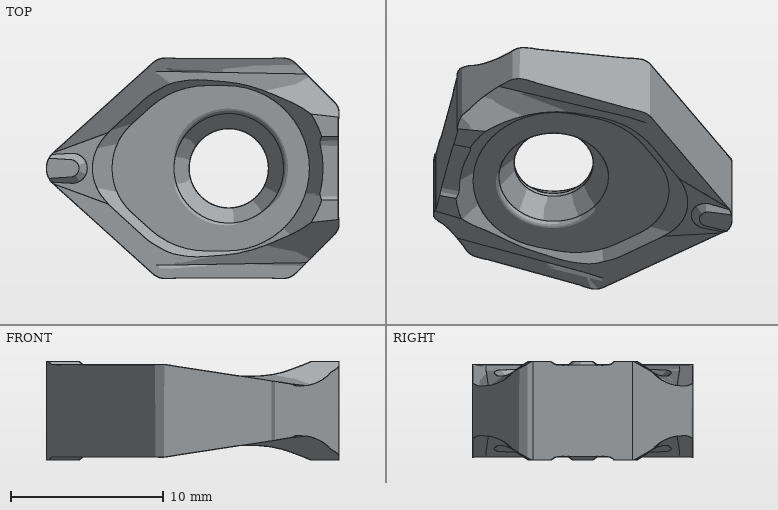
import cadquery as cq
import math


length = 19.26
width = 14.5
thickness = 6.5
half_width = width / 2
top_z = thickness / 2
nose_x = -12.0
back_x = nose_x + length
overrun = 0.58
clear_z = top_z + overrun

nose_radius = 1.37
side_corner_radius = 1.2
back_corner_radius = 1.0
nose_angle = math.radians(42.1)
bevel_reach = 11.3
side_relief = 0.029
side_relief_start = -3.68
side_relief_end = 3.05
relief_run = 0.23
back_relief = 0.05
back_relief_half = 3.27

edge_z = 3.05
flank_rake = math.radians(13)
nose_ramp = math.radians(5.3)
side_edge_z = 2.4
side_edge_fall = math.radians(8.7)

front_section_x = -4.95
front_section_lean = 0.22
rear_section_x = -4.2
rear_section_lean = 0.66
front_land_y = 6.59
front_groove_y = 6.35
front_groove_z = 2.64
front_land_slope = 0.33

groove_back_x = 7.32
back_land_y = 6.88
back_groove_y = 6.16
back_groove_z = 1.4
back_land_slope = 0.2
groove_end_y = 4.58
groove_end_z = 2.55
groove_sag = 0.17
rim_front_y = 4.43
rim_back_y = 3.35

floor_z = 2.1
floor_radius = 5.43
floor_back_x = -0.13
floor_side_x = -1.5
floor_nose_radius = 3.93
wall_run = 1.2
back_wall_run = 1.15
front_wall_run = 2.1
pocket_front_corner = (-9.13, 2.0)

tongue_root_z = 2.8
tongue_taper = 53
tongue_root_half = 1.35
tongue_root_end = -9.25
tongue_narrowing = 0.17

channel_half = 2.08
channel_floor_half = 1.46
channel_depth = 0.25

bore_radius = 2.6
bore_half_height = 0.17
seat_radius = 3.6
seat_lip = 0.3
seat_wall = 0.17

flank = (math.cos(nose_angle), math.sin(nose_angle))
outward = (-math.sin(nose_angle), math.cos(nose_angle))


def offset_point(center, direction, distance):
    return (center[0] + distance * direction[0], center[1] + distance * direction[1])


def mirrored(point):
    return (point[0], -point[1])


nose_center = (nose_x + nose_radius, 0)
nose_end = offset_point(nose_center, outward, nose_radius)
shoulder_y = half_width - side_corner_radius
shoulder_start = offset_point(nose_center, outward, nose_radius - side_corner_radius)
shoulder_x = shoulder_start[0] + (shoulder_y - shoulder_start[1]) * flank[0] / flank[1]
shoulder_center = (shoulder_x, shoulder_y)

floor_front_x = floor_side_x + (floor_radius - floor_nose_radius) / outward[0]
floor_front_center = (floor_front_x, 0)
floor_front = offset_point(floor_front_center, outward, floor_nose_radius)


def make_blank():
    """Constant-section blank: a round nose, straight flanks, relieved sides and bevelled back."""
    nose_mid_angle = (math.pi / 2 - nose_angle) / 2
    nose_mid = offset_point(nose_center, (-math.cos(nose_mid_angle), math.sin(nose_mid_angle)), nose_radius)
    diagonal = (math.sqrt(0.5), math.sqrt(0.5))
    shoulder_mid = (-math.sin(nose_angle / 2), math.cos(nose_angle / 2))
    side_reach = bevel_reach - side_corner_radius * math.sqrt(2)
    bevel_top = (side_reach - shoulder_y, shoulder_y)
    back_reach = bevel_reach - back_corner_radius * math.sqrt(2)
    bevel_back = (back_x - back_corner_radius, back_reach - back_x + back_corner_radius)
    eighth = math.pi / 8
    steep = (math.sin(eighth), math.cos(eighth))
    shallow = (math.cos(eighth), math.sin(eighth))
    relief_y = half_width - side_relief
    half = (
        cq.Workplane("XY").workplane(offset=-top_z)
        .moveTo(nose_x, 0)
        .threePointArc(nose_mid, nose_end)
        .lineTo(*offset_point(shoulder_center, outward, side_corner_radius))
        .threePointArc(offset_point(shoulder_center, shoulder_mid, side_corner_radius),
                       (shoulder_x, half_width))
        .lineTo(side_relief_start, half_width)
        .lineTo(side_relief_start + relief_run, relief_y)
        .lineTo(side_relief_end - relief_run, relief_y)
        .lineTo(side_relief_end, half_width)
        .lineTo(bevel_top[0], half_width)
        .threePointArc(offset_point(bevel_top, steep, side_corner_radius),
                       offset_point(bevel_top, diagonal, side_corner_radius))
        .lineTo(*offset_point(bevel_back, diagonal, back_corner_radius))
        .threePointArc(offset_point(bevel_back, shallow, back_corner_radius), (back_x, bevel_back[1]))
        .lineTo(back_x, back_relief_half)
        .lineTo(back_x - back_relief, back_relief_half)
        .lineTo(back_x - back_relief, 0)
        .close()
        .extrude(thickness)
    )
    return half.union(half.mirror("XZ"))


def ruled_loft(*wires):
    return cq.Workplane(obj=cq.Solid.makeLoft(list(wires), True))


def pocket_wire(z, points, back_tip, front_tip):
    """Closed pocket outline from its upper points, listed from the back to the front."""
    back, side, shoulder_mid, shoulder, front = points
    return (
        cq.Workplane("XY").workplane(offset=z)
        .moveTo(*mirrored(back))
        .threePointArc((back_tip, 0), back)
        .lineTo(*side)
        .threePointArc(shoulder_mid, shoulder)
        .lineTo(*front)
        .threePointArc((front_tip, 0), mirrored(front))
        .lineTo(*mirrored(shoulder))
        .threePointArc(mirrored(shoulder_mid), mirrored(side))
        .close()
        .val()
    )


def make_pocket():
    """Pocket whose walls flare steeply at the sides and gently at the nose."""
    side_center = (floor_side_x, 0)
    shoulder_dir = (-math.sin(nose_angle / 2), math.cos(nose_angle / 2))

    def upper_points(radius, front):
        return [
            (floor_back_x, radius),
            (floor_side_x, radius),
            offset_point(side_center, shoulder_dir, radius),
            offset_point(side_center, outward, radius),
            front,
        ]

    floor_tip = floor_front_center[0] - floor_nose_radius
    floor = pocket_wire(floor_z, upper_points(floor_radius, floor_front),
                        floor_back_x + floor_radius, floor_tip)
    mouth = pocket_wire(top_z, upper_points(floor_radius + wall_run, pocket_front_corner),
                        floor_back_x + floor_radius + back_wall_run, floor_tip - front_wall_run)
    return ruled_loft(floor, mouth)


def flank_land_z(point):
    """Height of the land that falls inward from the nose flank edge."""
    inset = -((point[0] - nose_end[0]) * outward[0] + (point[1] - nose_end[1]) * outward[1])
    return edge_z - inset * math.tan(flank_rake)


def side_land_z(edge_x, y, slope):
    """Height of the land that falls inward from the side edge, in the section meeting it at edge_x."""
    return side_edge_z - edge_x * math.tan(side_edge_fall) - (half_width - y) * slope


def nose_ramp_z(point):
    return edge_z - (point[0] - nose_end[0]) * math.tan(nose_ramp)


def plan_prism(points, height_at):
    """Solid above a plane, over a polygon given in plan."""
    low = [(x, y, height_at((x, y))) for x, y in points]
    high = [(x, y, clear_z) for x, y in points]
    return ruled_loft(cq.Wire.makePolygon([cq.Vector(*p) for p in low], close=True),
                      cq.Wire.makePolygon([cq.Vector(*p) for p in high], close=True))


def land_section_x(y, foot_x, lean):
    """X of the slanted section plane that starts at foot_x on the side face."""
    return foot_x + lean * (half_width - y)


def groove_wire(points, sag):
    """Section of the side groove; points run from the edge inward, sag drops the curved stretch."""
    edge, land_end, groove_start, groove_end, rim = [cq.Vector(*p) for p in points]
    if sag:
        middle = (groove_start + groove_end) * 0.5 - cq.Vector(0, 0, sag)
        curve = cq.Edge.makeThreePointArc(groove_start, middle, groove_end)
    else:
        curve = cq.Edge.makeLine(groove_start, groove_end)
    rim_top = cq.Vector(rim.x, rim.y, clear_z)
    edge_top = cq.Vector(edge.x, edge.y, clear_z)
    line = cq.Edge.makeLine
    return cq.Wire.assembleEdges([
        line(edge, land_end),
        line(land_end, groove_start),
        curve,
        line(groove_end, rim),
        line(rim, rim_top),
        line(rim_top, edge_top),
        line(edge_top, edge),
    ])


def make_side_lands():
    """Flank land, shoulder patch and back groove on the +Y side."""
    outer_y = half_width + overrun / 2

    def front_point(y):
        return (land_section_x(y, front_section_x, front_section_lean), y)

    def rear_point(y, z):
        return (land_section_x(y, rear_section_x, rear_section_lean), y, z)

    land = plan_prism(
        [nose_end, offset_point(nose_end, outward, overrun), front_point(outer_y + overrun),
         front_point(rim_front_y), floor_front],
        flank_land_z)
    front = groove_wire(
        [(*front_point(y), flank_land_z(front_point(y)))
         for y in (outer_y, front_land_y, front_groove_y, groove_end_y, rim_front_y)], 0)
    rear = groove_wire(
        [rear_point(outer_y, side_land_z(rear_section_x, outer_y, front_land_slope)),
         rear_point(front_land_y, side_land_z(rear_section_x, front_land_y, front_land_slope)),
         rear_point(front_groove_y, front_groove_z),
         rear_point(groove_end_y, groove_end_z),
         rear_point(rim_front_y, top_z)], 0)
    back = groove_wire(
        [(groove_back_x, outer_y, side_land_z(groove_back_x, outer_y, back_land_slope)),
         (groove_back_x, back_land_y, side_land_z(groove_back_x, back_land_y, back_land_slope)),
         (groove_back_x, back_groove_y, back_groove_z),
         (groove_back_x, groove_end_y, groove_end_z),
         (groove_back_x, rim_back_y, top_z)], groove_sag)
    return land.union(ruled_loft(front, rear)).union(ruled_loft(rear, back))


def make_nose_ramp():
    """Ramp from the nose down to the pocket, leaving a raised tongue."""
    tip = (nose_x - overrun, nose_end[1] + overrun)
    ramp = plan_prism(
        [tip, nose_end, floor_front, mirrored(floor_front), mirrored(nose_end), mirrored(tip)],
        nose_ramp_z)
    end_half = tongue_root_half - tongue_narrowing
    start_x = nose_x - 2 * overrun
    tongue = (
        cq.Workplane("XY").workplane(offset=tongue_root_z)
        .moveTo(start_x, tongue_root_half)
        .lineTo(tongue_root_end - end_half, end_half)
        .threePointArc((tongue_root_end, 0), (tongue_root_end - end_half, -end_half))
        .lineTo(start_x, -tongue_root_half)
        .close()
        .extrude(top_z - tongue_root_z, taper=tongue_taper)
    )
    cap = cq.Workplane("XY").workplane(offset=top_z).rect(3 * length, width).extrude(top_z)
    return ramp.cut(tongue).cut(cap)


def make_channel():
    """Flat channel along X whose concave sides run tangentially into its floor."""
    bottom = top_z - channel_depth
    half = (
        cq.Workplane("YZ")
        .moveTo(0, bottom)
        .lineTo(channel_floor_half, bottom)
        .tangentArcPoint((channel_half, top_z), relative=False)
        .lineTo(channel_half, clear_z)
        .lineTo(0, clear_z)
        .close()
        .extrude(length)
    )
    return half.union(half.mirror("XZ"))


def make_hole():
    """Bore with a conical seat and a rounded lip at each end."""
    lip_bottom = floor_z - seat_lip
    lip_arc = seat_lip * (1 - math.sqrt(0.5))
    upper = (
        cq.Workplane("XZ")
        .moveTo(0, 0)
        .lineTo(bore_radius, 0)
        .lineTo(bore_radius, bore_half_height)
        .lineTo(seat_radius, lip_bottom - seat_wall)
        .lineTo(seat_radius, lip_bottom)
        .threePointArc((seat_radius + lip_arc, floor_z - lip_arc), (seat_radius + seat_lip, floor_z))
        .lineTo(0, floor_z)
        .close()
        .revolve(360, (0, 0, 0), (0, 1, 0))
    )
    return upper.union(upper.mirror("XY"))


side_lands = make_side_lands()
result = make_blank()
for cutter in (side_lands, side_lands.mirror("XZ"), make_nose_ramp(), make_pocket(), make_channel()):
    result = result.cut(cutter).cut(cutter.mirror("XY"))
result = result.cut(make_hole())